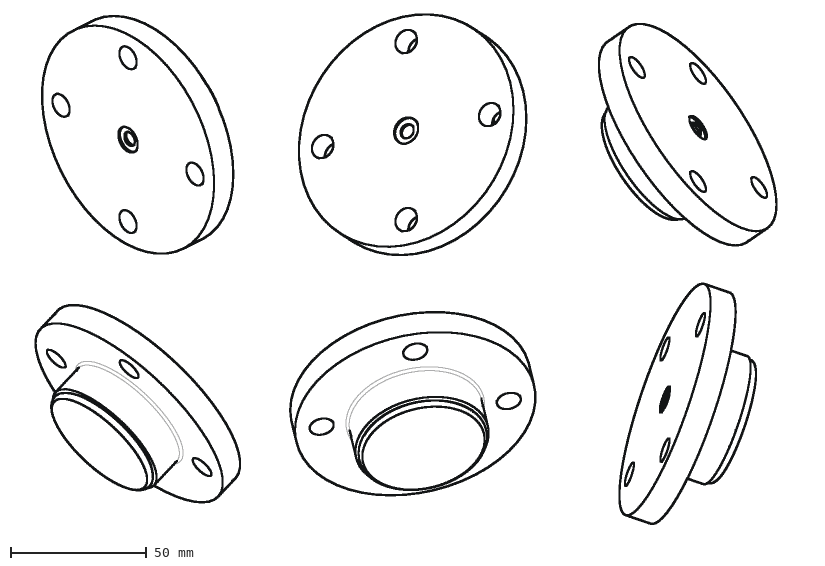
import cadquery as cq
import math

flange_diameter = 90.0
flange_thickness = 10.0
bolt_hole_diameter = 9.0
bolt_circle_diameter = 70.0
bolt_hole_count = 4

hub_diameter = 49.9
hub_length = 14.0
root_fillet = 1.0

spigot_root_diameter = 46.0
spigot_tip_diameter = 45.8
bead_diameter = 48.0
bead_thickness = 3.0

recess_diameter = 10.1
recess_depth = 0.8
pilot_diameter = 5.5
pilot_depth = 1.0

hub_start = flange_thickness
hub_end = hub_start + hub_length
part_end = hub_end + bead_thickness


def disc(diameter, start, end):
    """Cylinder on the Y axis between two Y positions."""
    return cq.Workplane("XZ", origin=(0, start, 0)).circle(diameter / 2).extrude(start - end)


def make_flange_and_hub():
    """Flange and hub, with a fillet in the corner between them."""
    flange = disc(flange_diameter, 0, hub_start)
    hub = disc(hub_diameter, hub_start, hub_end)
    on_flange_back = cq.selectors.CenterNthSelector(cq.Vector(0, 1, 0), 1)
    corner = cq.selectors.RadiusNthSelector(0)
    return flange.union(hub).edges("%CIRCLE").edges(on_flange_back).edges(corner).fillet(root_fillet)


def make_beaded_spigot():
    """Short spigot whose side swells into a round bead, revolved about the Y axis."""
    bead_radius = bead_thickness / 2
    bead_mid_y = hub_end + bead_radius
    bead_centre_x = bead_diameter / 2 - bead_radius

    def bead_half_width(radius):
        """Distance from the bead's mid-plane to its surface at a distance from the part axis."""
        return math.sqrt(bead_radius**2 - (radius - bead_centre_x) ** 2)

    root_radius = spigot_root_diameter / 2
    tip_radius = spigot_tip_diameter / 2
    bead_start = (root_radius, bead_mid_y - bead_half_width(root_radius))
    bead_crest = (bead_diameter / 2, bead_mid_y)
    bead_end = (tip_radius, bead_mid_y + bead_half_width(tip_radius))
    profile = (
        cq.Workplane("XY")
        .moveTo(0, hub_end)
        .lineTo(root_radius, hub_end)
        .lineTo(*bead_start)
        .threePointArc(bead_crest, bead_end)
        .lineTo(tip_radius, part_end)
        .lineTo(0, part_end)
        .close()
    )
    return profile.revolve(360, (0, 0, 0), (0, 1, 0))


def make_bolt_holes():
    return (
        cq.Workplane("XZ")
        .polarArray(bolt_circle_diameter / 2, 0, 360, bolt_hole_count)
        .circle(bolt_hole_diameter / 2)
        .extrude(-flange_thickness)
    )


def make_centre_recess():
    recess = disc(recess_diameter, 0, recess_depth)
    return recess.union(disc(pilot_diameter, recess_depth, recess_depth + pilot_depth))


body = make_flange_and_hub().union(make_beaded_spigot())
result = body.cut(make_bolt_holes()).cut(make_centre_recess())